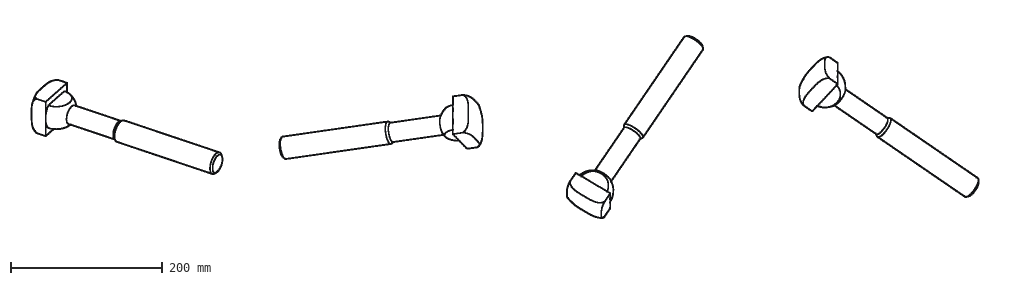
import cadquery as cq
import math

total_length = 272.0
head_width = 54.0
head_thickness = 22.0
head_corner_round = 11.7
neck_height = 35.5
shank_diameter = 26.0
thread_diameter = 30.2
thread_start = 118.0
shoulder_length = 3.5
end_chamfer = 2.5

ball_radius = head_width / 2
neck_end = head_thickness + math.sqrt(ball_radius**2 - (shank_diameter / 2) ** 2)


def make_head():
    """Square block whose front corners are turned down to a round."""
    block = cq.Workplane("YZ").rect(head_width, head_width).extrude(head_thickness)
    rounded_disk = (
        cq.Workplane("YZ")
        .circle(head_width / 2 + head_corner_round)
        .extrude(head_thickness)
        .faces("<X")
        .edges()
        .fillet(head_corner_round)
    )
    return block.intersect(rounded_disk)


def make_neck():
    """Half ball as wide as the head, flattened above and below, cut off at the shank."""
    mid_angle = math.pi / 4
    mid_point = (
        head_thickness + ball_radius * math.cos(mid_angle),
        ball_radius * math.sin(mid_angle),
    )
    ball = (
        cq.Workplane("XY")
        .moveTo(head_thickness, 0)
        .lineTo(head_thickness, ball_radius)
        .threePointArc(mid_point, (neck_end, shank_diameter / 2))
        .lineTo(neck_end, 0)
        .close()
        .revolve(360, (0, 0, 0), (1, 0, 0))
    )
    slab = cq.Workplane("YZ").rect(2 * head_width, neck_height).extrude(total_length)
    return ball.intersect(slab)


def make_shaft():
    """Plain shank, conical shoulder and chamfered threaded end."""
    shank_radius = shank_diameter / 2
    thread_radius = thread_diameter / 2
    return (
        cq.Workplane("XY")
        .moveTo(neck_end, 0)
        .lineTo(neck_end, shank_radius)
        .lineTo(thread_start, shank_radius)
        .lineTo(thread_start + shoulder_length, thread_radius)
        .lineTo(total_length - end_chamfer, thread_radius)
        .lineTo(total_length, thread_radius - end_chamfer)
        .lineTo(total_length, 0)
        .close()
        .revolve(360, (0, 0, 0), (1, 0, 0))
    )


result = make_head().union(make_neck()).union(make_shaft())